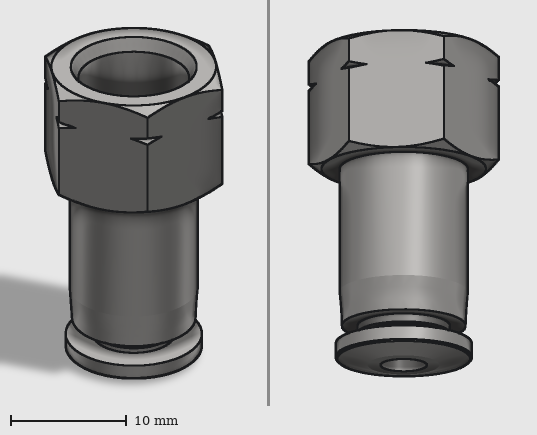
import cadquery as cq
import math

total_length = 28.1
top_z = total_length

hex_across_flats = 14.29
hex_length = 10.5
hex_bottom_z = top_z - hex_length
hex_corner_radius = hex_across_flats / math.sqrt(3)
hex_face_diameter = 14.25
hex_chamfer_angle = 30.0
corner_drop = (hex_corner_radius - hex_face_diameter / 2) * math.tan(math.radians(hex_chamfer_angle))

groove_center_z = 25.1
groove_root_radius = 7.6
groove_corner_height = 0.6

body_diameter = 11.1
body_end_diameter = 10.72
body_bottom_z = 3.53
body_taper_length = 3.0

collar_diameter = 8.0
collar_bottom_z = 2.82
neck_diameter = 6.76
neck_base_diameter = 7.1
neck_flare_z = 2.28
flange_diameter = 11.8
flange_top_z = 1.93
flange_edge_z = 0.72
flange_bevel_z = 0.57
flange_bevel_diameter = 11.5
flange_end_diameter = 6.2

socket_mouth_diameter = 10.9
socket_chamfer_depth = 1.1
socket_top_diameter = 9.6
socket_taper_length = 8.5
socket_taper_ratio = 1 / 16
socket_bottom_diameter = socket_top_diameter - socket_taper_length * socket_taper_ratio
floor_diameter = 8.5
floor_chamfer_depth = (socket_bottom_diameter - floor_diameter) / 2
through_diameter = 4.0


def revolve_profile(points):
    """Revolve a closed (radius, z) outline about the Z axis."""
    return cq.Workplane("XZ").polyline(points).close().revolve(360, (0, 0), (0, 1))


def make_hexagon():
    """Hexagon with corners on the Y axis, chamfered at both ends and nicked at its corners."""
    prism = (
        cq.Workplane("XY", origin=(0, 0, hex_bottom_z))
        .polygon(6, 2 * hex_corner_radius)
        .extrude(hex_length)
        .rotate((0, 0, 0), (0, 0, 1), 90)
    )
    half_height = groove_corner_height / 2
    envelope = revolve_profile([
        (0, hex_bottom_z),
        (hex_face_diameter / 2, hex_bottom_z),
        (hex_corner_radius, hex_bottom_z + corner_drop),
        (hex_corner_radius, groove_center_z - half_height),
        (groove_root_radius, groove_center_z),
        (hex_corner_radius, groove_center_z + half_height),
        (hex_corner_radius, top_z - corner_drop),
        (hex_face_diameter / 2, top_z),
        (0, top_z),
    ])
    return prism.intersect(envelope)


def make_body():
    """Round body, collar, neck and flange as one turned shape."""
    return revolve_profile([
        (0, 0),
        (flange_end_diameter / 2, 0),
        (flange_bevel_diameter / 2, flange_bevel_z),
        (flange_diameter / 2, flange_edge_z),
        (flange_diameter / 2, flange_top_z),
        (neck_base_diameter / 2, flange_top_z),
        (neck_diameter / 2, neck_flare_z),
        (neck_diameter / 2, collar_bottom_z),
        (collar_diameter / 2, collar_bottom_z),
        (collar_diameter / 2, body_bottom_z),
        (body_end_diameter / 2, body_bottom_z),
        (body_diameter / 2, body_bottom_z + body_taper_length),
        (body_diameter / 2, hex_bottom_z),
        (0, hex_bottom_z),
    ])


def make_bore():
    """Chamfered, tapered socket from the top, continued by the through hole."""
    taper_top_z = top_z - socket_chamfer_depth
    taper_bottom_z = taper_top_z - socket_taper_length
    floor_z = taper_bottom_z - floor_chamfer_depth
    return revolve_profile([
        (0, 0),
        (through_diameter / 2, 0),
        (through_diameter / 2, floor_z),
        (floor_diameter / 2, floor_z),
        (socket_bottom_diameter / 2, taper_bottom_z),
        (socket_top_diameter / 2, taper_top_z),
        (socket_mouth_diameter / 2, top_z),
        (0, top_z),
    ])


result = make_hexagon().union(make_body()).cut(make_bore())